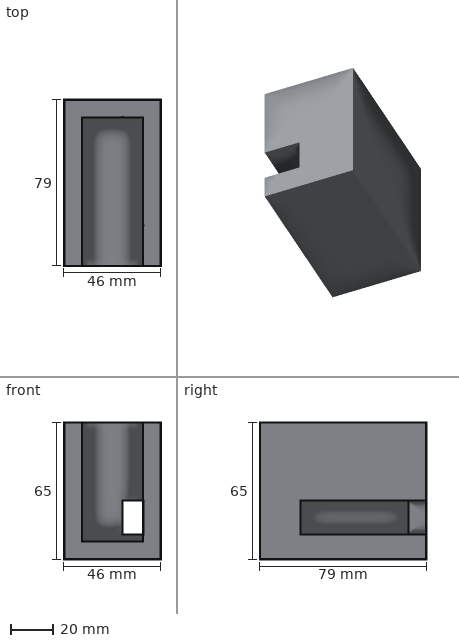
import cadquery as cq

width = 46.0
length = 79.0
height = 65.0

wall = 8.45

opening_sill = 3.4
opening_height = 15.95
opening_left = 4.8
opening_front_gap = 19.2


def box_from(corner, size):
    """Box with its lowest X, Y, Z corner at the given point."""
    return cq.Workplane("XY").box(*size, centered=False).translate(corner)


block = box_from((-width / 2, -length / 2, 0), (width, length, height))

cavity = box_from(
    (-width / 2 + wall, -length / 2, wall),
    (width - 2 * wall, length - wall, height - wall),
)

opening = box_from(
    (opening_left, -length / 2 + opening_front_gap, wall + opening_sill),
    (width / 2 - opening_left, length - opening_front_gap, opening_height),
)

result = block.cut(cavity).cut(opening)